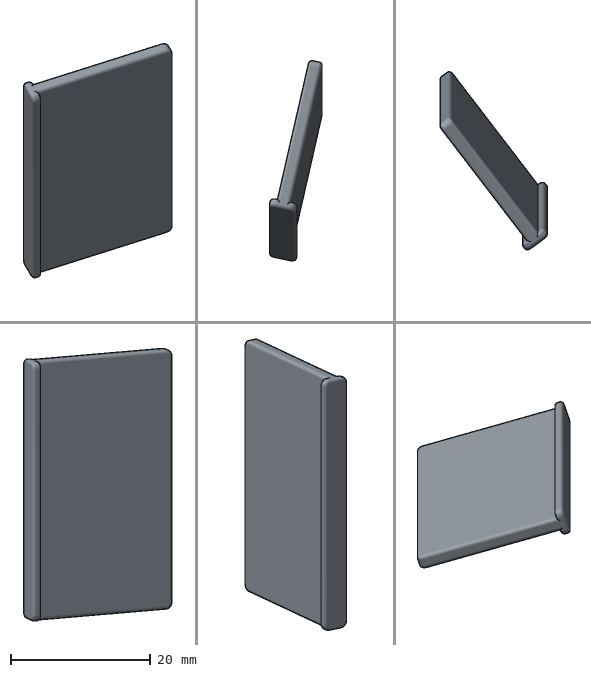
import cadquery as cq

height = 38.0
total_depth = 22.3
flange_width = 4.0
flange_thickness = 1.3
plate_thickness = 2.0
corner_radius = 1.0
edge_radius = 0.5

plate_start = flange_thickness - edge_radius
plate_length = total_depth - plate_start


def make_flange():
    """Upright bar with rounded corners and both faces rounded over."""
    bar = cq.Workplane("XY").box(
        flange_width, flange_thickness, height, centered=(True, False, True)
    )
    bar = bar.edges("|Y").fillet(corner_radius)
    return bar.faces("<Y or >Y").edges().fillet(edge_radius)


def make_plate():
    """Thin plate with rounded rear corners; its root end stays square."""
    plate = cq.Workplane("XY").box(
        plate_thickness, plate_length, height, centered=(True, False, True)
    )
    plate = plate.translate((0, plate_start, 0))
    plate = plate.faces(">Y").edges("|X").fillet(corner_radius)
    return plate.faces("<X or >X").edges("not <Y").fillet(edge_radius)


result = make_flange().union(make_plate())